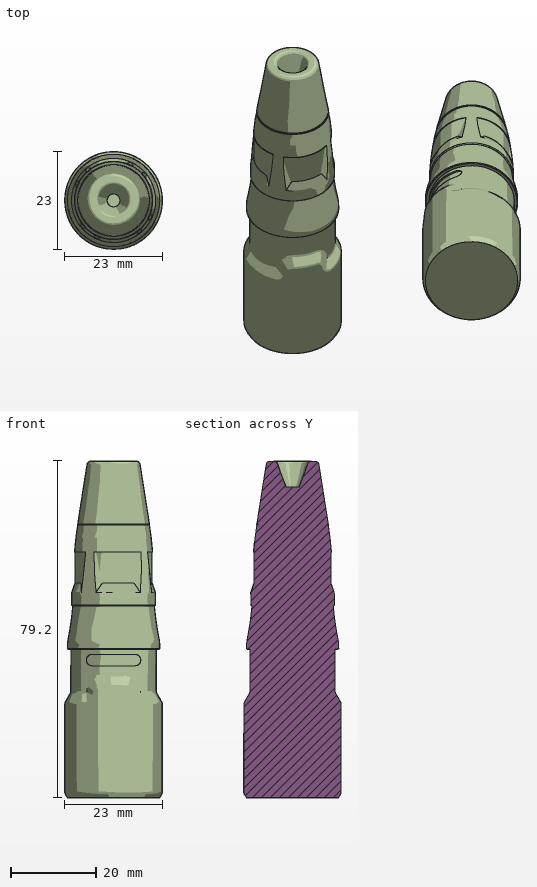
import cadquery as cq
import math

total_height = 79.21

sleeve_radius = 11.5
foot_chamfer_height = 1.13
foot_chamfer_inset = 0.65
foot_blend_radius = 1.0

neck_radius = 10.08
shoulder_angle = 60.0
shoulder_low_z = 22.3
shoulder_edge_blend = 1.0
shoulder_sample_count = 5

tab_rise = 4.0
tab_top_half_width = 2.73
tab_crown_radius = 2.1
tab_root_radius = 2.65
tab_flank_angle = 76.0
tab_side_spread = 0.25

collar_bottom_z = 34.9
collar_radius = 10.87
collar_chamfer = 0.2
collar_straight_top_z = 36.1
flare_bottom_z = 37.1
flare_bottom_radius = 10.77
flare_middle_z = 41.2
flare_middle_radius = 10.07

barrel_bottom_z = 45.1
barrel_bottom_radius = 9.9
barrel_lip = 0.25
barrel_bulge_z = 49.3
barrel_bulge_radius = 9.82
barrel_waist_z = 53.3
barrel_waist_radius = 9.59
barrel_shoulder_z = 61.2
barrel_shoulder_radius = 8.87
barrel_top_z = 64.2
nose_base_radius = 8.45
joint_groove_width = 0.25
joint_groove_depth = 0.2

nose_tip_radius = 6.13
nose_tip_blend = 1.0
socket_mouth_radius = 3.77
socket_mouth_blend = 0.8
socket_floor_radius = 1.5
socket_depth = 6.1

window_count = 4
window_turn = 7.5
window_floor_radius = 9.09
window_top_z = 57.8
window_ramp_z = 50.5
window_bottom_z = 48.2
post_base_distance = 8.6
post_crest_distance = 9.9
post_base_half_bottom = 3.45
post_base_half_top = 1.9
post_half_taper = 1.6
window_corner_radius = 1.2

plate_length = 12.8
plate_height = 2.66
plate_centre_z = 32.4
plate_depth = 0.35

shoulder_step = sleeve_radius - neck_radius
shoulder_slope = math.tan(math.radians(shoulder_angle))
shoulder_height = shoulder_step * shoulder_slope
tab_top_z = shoulder_low_z + tab_rise
flare_top_radius = barrel_bottom_radius - barrel_lip
flare_top_z = barrel_bottom_z - barrel_lip
overlap = 0.1


def end_radii(edge):
    """Distances of an edge's two ends from the Z axis."""
    ends = (edge.positionAt(0), edge.positionAt(1))
    return [math.hypot(end.x, end.y) for end in ends]


def make_upper_body():
    """Turned neck, collar, barrel and nose cone."""
    groove_radius = nose_base_radius - joint_groove_depth
    groove_top_z = barrel_top_z + joint_groove_width
    return (
        cq.Workplane("XZ")
        .moveTo(0, shoulder_low_z - shoulder_height)
        .lineTo(neck_radius, shoulder_low_z - shoulder_height)
        .lineTo(neck_radius, collar_bottom_z)
        .lineTo(collar_radius - collar_chamfer, collar_bottom_z)
        .lineTo(collar_radius, collar_bottom_z + collar_chamfer)
        .lineTo(collar_radius, collar_straight_top_z)
        .tangentArcPoint((flare_bottom_radius, flare_bottom_z), relative=False)
        .threePointArc((flare_middle_radius, flare_middle_z), (flare_top_radius, flare_top_z))
        .lineTo(flare_top_radius, barrel_bottom_z)
        .lineTo(barrel_bottom_radius, barrel_bottom_z + barrel_lip)
        .threePointArc((barrel_bulge_radius, barrel_bulge_z), (barrel_waist_radius, barrel_waist_z))
        .tangentArcPoint((barrel_shoulder_radius, barrel_shoulder_z), relative=False)
        .lineTo(nose_base_radius, barrel_top_z)
        .lineTo(groove_radius, barrel_top_z)
        .lineTo(groove_radius, groove_top_z)
        .lineTo(nose_base_radius, groove_top_z)
        .lineTo(nose_tip_radius, total_height)
        .lineTo(0, total_height)
        .close()
        .revolve(360, (0, 0, 0), (0, 1, 0))
        .faces(">Z")
        .edges()
        .fillet(nose_tip_blend)
    )


def make_socket():
    """Blind tapered socket in the nose tip, with a rounded mouth blended separately."""
    return (
        cq.Workplane("XZ")
        .moveTo(0, total_height)
        .lineTo(socket_mouth_radius, total_height)
        .lineTo(socket_floor_radius, total_height - socket_depth)
        .lineTo(0, total_height - socket_depth)
        .close()
        .revolve(360, (0, 0, 0), (0, 1, 0))
    )


def on_cylinder(radius, arc_length, z):
    """Point at an arc length, measured around the sleeve from -Y, on a given radius."""
    angle = arc_length / sleeve_radius - math.pi / 2
    return cq.Vector(radius * math.cos(angle), radius * math.sin(angle), z)


def shoulder_outline(radius):
    """Unrolled right half of one tab outline: lists of (arc length, z), one per segment."""
    offset = (sleeve_radius - radius) * shoulder_slope
    flank = math.radians(tab_flank_angle)
    sin_flank = math.sin(flank)
    cos_flank = math.cos(flank)

    crown_centre_z = tab_top_z - tab_crown_radius
    root_centre_z = shoulder_low_z + tab_root_radius
    crown_centre = tab_top_half_width + tab_side_spread * offset
    flank_drop = tab_rise - (tab_crown_radius + tab_root_radius) * (1 - cos_flank)
    root_centre = (
        crown_centre
        + (tab_crown_radius + tab_root_radius) * sin_flank
        + flank_drop / math.tan(flank)
    )
    crown_radius = tab_crown_radius + offset
    root_radius = tab_root_radius - offset

    crown = []
    root = []
    for step in range(shoulder_sample_count):
        turn = flank * step / (shoulder_sample_count - 1)
        crown.append(
            (crown_centre + crown_radius * math.sin(turn), crown_centre_z + crown_radius * math.cos(turn))
        )
        rest = flank - turn
        root.append(
            (root_centre - root_radius * math.sin(rest), root_centre_z - root_radius * math.cos(rest))
        )
    return crown, [crown[-1], root[0]], root


def shoulder_edges(radius):
    """Closed loop of edges following the shoulder around a cylinder of the given radius."""
    half_turn = math.pi * sleeve_radius
    right_half = shoulder_outline(radius)
    left_half = [[(-arc, z) for arc, z in reversed(part)] for part in reversed(right_half)]
    top_start = left_half[-1][-1]
    top_end = right_half[0][0]
    low_start = right_half[-1][-1]
    low_end = (half_turn + left_half[0][0][0], left_half[0][0][1])

    edges = []
    for shift in (0, half_turn):
        for start, end in ((top_start, top_end), (low_start, low_end)):
            middle = ((start[0] + end[0]) / 2, start[1])
            points = [on_cylinder(radius, arc + shift, z) for arc, z in (start, middle, end)]
            edges.append(cq.Edge.makeThreePointArc(*points))
        for part in left_half + list(right_half):
            points = [on_cylinder(radius, arc + shift, z) for arc, z in part]
            edges.append(cq.Edge.makeSpline(points))
    return edges


def make_sleeve():
    """Foot sleeve whose top is the sloped shoulder, raised into the two tabs."""
    ring_inner_radius = neck_radius - overlap
    blank_height = tab_top_z + 2 * shoulder_height
    bore_floor_z = shoulder_low_z - shoulder_height
    blank = cq.Workplane("XY").circle(sleeve_radius).extrude(blank_height)
    bore = (
        cq.Workplane("XY", origin=(0, 0, bore_floor_z))
        .circle(ring_inner_radius)
        .extrude(blank_height - bore_floor_z)
    )
    inner_edges = shoulder_edges(ring_inner_radius - overlap)
    outer_edges = shoulder_edges(sleeve_radius + overlap)
    shoulder_faces = [
        cq.Face.makeRuledSurface(inner, outer) for inner, outer in zip(inner_edges, outer_edges)
    ]
    shoulder = cq.Shell.makeShell(shoulder_faces)
    pieces = blank.cut(bore).val().split(shoulder).Solids()
    sleeve = cq.Workplane(obj=min(pieces, key=lambda piece: piece.BoundingBox().zmin))

    sleeve = sleeve.faces("<Z").edges().chamfer(foot_chamfer_height, foot_chamfer_inset)
    foot_edge = cq.selectors.BoxSelector(
        (-2 * sleeve_radius, -2 * sleeve_radius, foot_chamfer_height - overlap),
        (2 * sleeve_radius, 2 * sleeve_radius, foot_chamfer_height + overlap),
        boundingbox=True,
    )
    return sleeve.edges(foot_edge).fillet(foot_blend_radius)


def make_window_cutter():
    """Ring outside the window floor, ramped at its foot and interrupted by the window posts."""
    outside = 2 * barrel_bottom_radius
    ramp_slope = (barrel_bottom_radius - window_floor_radius) / (window_ramp_z - window_bottom_z)
    ramp_end_z = window_ramp_z - (outside - window_floor_radius) / ramp_slope
    ring = (
        cq.Workplane("XZ")
        .moveTo(window_floor_radius, window_top_z)
        .lineTo(outside, window_top_z)
        .lineTo(outside, ramp_end_z)
        .lineTo(window_floor_radius, window_ramp_z)
        .close()
        .revolve(360, (0, 0, 0), (0, 1, 0))
    )
    cutter = ring.cut(make_window_posts())
    side_edges = []
    for edge in cutter.edges().vals():
        box = edge.BoundingBox()
        rises = box.zmax - box.zmin > (window_top_z - window_ramp_z) / 2
        if rises and max(end_radii(edge)) < window_floor_radius + overlap:
            side_edges.append(edge)
    return cutter.newObject(side_edges).fillet(window_corner_radius)


def make_window_posts():
    """Tapered posts left standing between the windows, wider at the base and the bottom."""
    posts = cq.Workplane("XY")
    for index in range(window_count):
        angle = math.radians(360 / window_count * (index + 0.5) + window_turn)
        outward = cq.Vector(math.cos(angle), math.sin(angle), 0)
        sideways = cq.Vector(-math.sin(angle), math.cos(angle), 0)
        wires = []
        for distance, shrink in ((post_base_distance, 0), (post_crest_distance, post_half_taper)):
            bottom = post_base_half_bottom - shrink
            top = post_base_half_top - shrink
            corners = (
                (-bottom, window_bottom_z),
                (bottom, window_bottom_z),
                (top, window_top_z),
                (-top, window_top_z),
            )
            points = [outward * distance + sideways * side + cq.Vector(0, 0, z) for side, z in corners]
            wires.append(cq.Wire.makePolygon(points, close=True))
        posts = posts.add(cq.Workplane(obj=cq.Solid.makeLoft(wires, True)))
    return posts.combine()


def make_plate_recess():
    """Shallow round-ended recess with a cylindrical floor, on the -Y side of the neck."""
    floor = cq.Workplane("XY").circle(neck_radius - plate_depth).extrude(total_height)
    return (
        cq.Workplane("XZ", origin=(0, 0, plate_centre_z))
        .slot2D(plate_length, plate_height)
        .extrude(sleeve_radius)
        .cut(floor)
    )


def blend_shoulder(part):
    """Round the outer and inner edges of the shoulder."""
    lowest = shoulder_low_z - overlap
    highest = tab_top_z + shoulder_height + overlap
    rim_edges = []
    for edge in part.edges().vals():
        box = edge.BoundingBox()
        start_radius, end_radius = end_radii(edge)
        on_shoulder = lowest < box.zmin and box.zmax < highest
        if on_shoulder and abs(start_radius - end_radius) < overlap:
            rim_edges.append(edge)
    return part.newObject(rim_edges).fillet(shoulder_edge_blend)


body = make_upper_body().cut(make_socket())
socket_mouth = cq.selectors.RadiusNthSelector(0)
body = body.faces(">Z").edges(socket_mouth).fillet(socket_mouth_blend)
body = body.cut(make_window_cutter()).cut(make_plate_recess())
result = blend_shoulder(body.union(make_sleeve()))